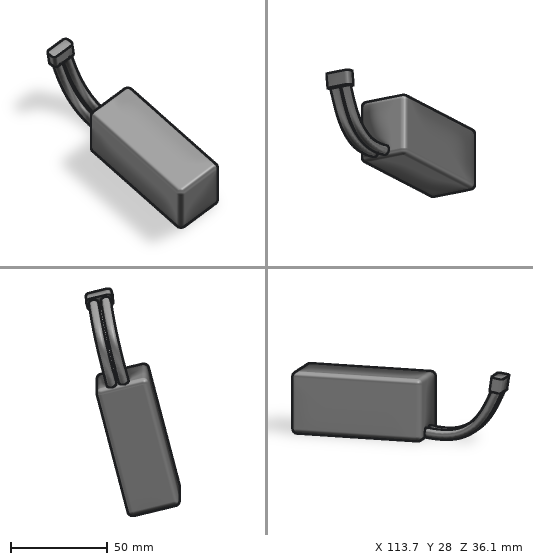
import cadquery as cq
import math

body_length = 71.1
body_width = 28.0
body_height = 33.1
body_fillet = 3.0

plug_thickness = 6.5
plug_width = 13.9
plug_height = 7.6
plug_corner_radius = 2.0
plug_tilt = 8.5
plug_base_x = -38.3
plug_base_z = 28.1

pair_center_y = 1.9
wire_spacing = 6.5
wire_diameter = 5.2
wire_embed = 4.5
wire_exit_z = 3.8
wire_exit_slope = math.tan(math.radians(plug_tilt))

wire_start = (wire_embed, wire_exit_z + wire_embed * wire_exit_slope)
wire_bends = [(0, wire_exit_z), (-9.5, 3.1), (-19.1, 4.8), (-27.1, 9.8), (-33.1, 17.5)]
wire_end = (plug_base_x, plug_base_z)
wire_path_points = [wire_start] + wire_bends + [wire_end]


def make_body():
    body = cq.Workplane("XY").box(body_length, body_width, body_height, centered=(False, True, False))
    return body.edges().fillet(body_fillet)


def make_plug():
    plug = cq.Workplane("XY").box(plug_thickness, plug_width, plug_height, centered=(True, True, False))
    plug = plug.edges("|Z").fillet(plug_corner_radius)
    plug = plug.rotate((0, 0, 0), (0, 1, 0), -plug_tilt)
    return plug.translate((plug_base_x, pair_center_y, plug_base_z))


def make_wire(center_y):
    points = [cq.Vector(x, center_y, z) for x, z in wire_path_points]
    path = cq.Workplane("XY").add(cq.Edge.makeSpline(points)).toPending()
    start_direction = cq.Vector(-1, 0, -wire_exit_slope)
    start_plane = cq.Plane(origin=points[0], xDir=(0, 1, 0), normal=start_direction)
    return cq.Workplane(start_plane).circle(wire_diameter / 2).sweep(path)


def make_part():
    part = make_body()
    for side in (-1, 1):
        part = part.union(make_wire(pair_center_y + side * wire_spacing / 2))
    return part.union(make_plug())


result = make_part()